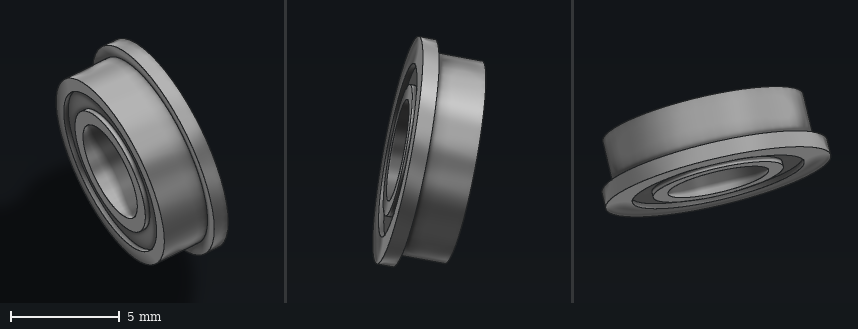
import cadquery as cq

flange_diameter = 10.67
body_diameter = 9.5
groove_outer_diameter = 8.13
groove_inner_diameter = 6.17
bore_diameter = 4.76
width = 3.1
flange_thickness = 0.77
groove_depth = 0.25

front_y = -width / 2
back_y = width / 2


def ring(outer_diameter, inner_diameter, start_y, length):
    """Ring around the Y axis, growing toward +Y from start_y."""
    return (
        cq.Workplane("XZ", origin=(0, start_y, 0))
        .circle(outer_diameter / 2)
        .circle(inner_diameter / 2)
        .extrude(-length)
    )


body = ring(body_diameter, bore_diameter, front_y, width)
flange = ring(flange_diameter, bore_diameter, back_y - flange_thickness, flange_thickness)
result = body.union(flange)

for groove_start in (front_y, back_y - groove_depth):
    groove = ring(groove_outer_diameter, groove_inner_diameter, groove_start, groove_depth)
    result = result.cut(groove)